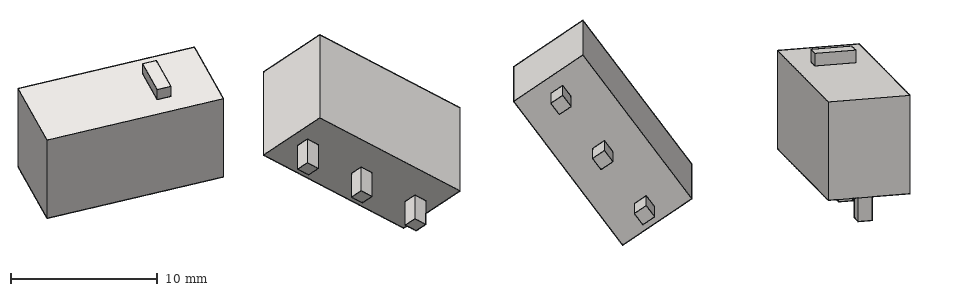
import cadquery as cq

body_width = 5.8
body_length = 12.8
body_height = 7.0

slider_width = body_width / 2
slider_length = 1.0
slider_height = 0.9
slider_offset = 2.61

pin_side = 1.0
pin_length = 2.0
pin_pitch = 4.9
pin_count = 3


def upright_block(width, length, height, center_y, base_z):
    """Block centred on X, with its base at base_z."""
    block = cq.Workplane("XY").box(width, length, height, centered=(True, True, False))
    return block.translate((0, center_y, base_z))


body = upright_block(body_width, body_length, body_height, 0, 0)
slider = upright_block(slider_width, slider_length, slider_height, slider_offset, body_height)
result = body.union(slider)

for index in range(pin_count):
    pin_y = (index - (pin_count - 1) / 2) * pin_pitch
    result = result.union(upright_block(pin_side, pin_side, pin_length, pin_y, -pin_length))